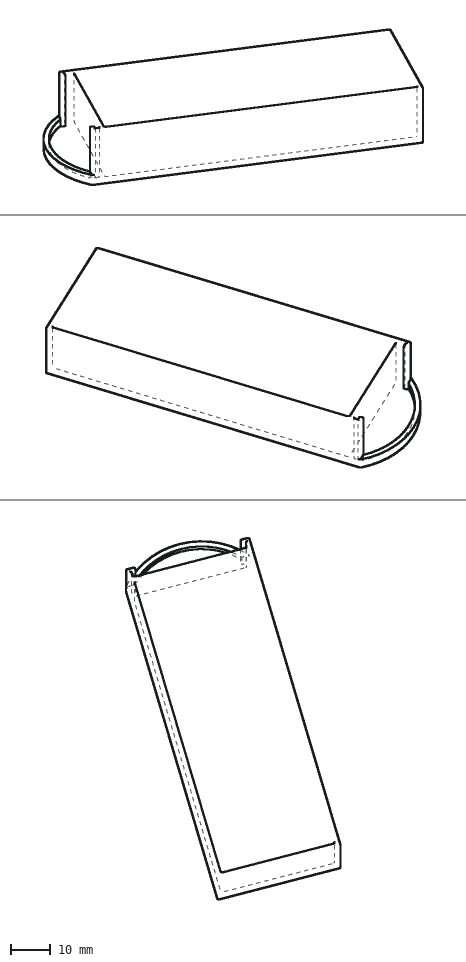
import cadquery as cq
import math

width = 32.4
total_length = 94.4
height = 16.0
tongue_reach = 7.6
tongue_height = 3.1
wall = 1.2
panel = 1.1
floor = 1.2
edge_round = 0.5
rim_round = 0.425
inner_round = 0.6
tongue_corner_round = 0.8
lip_round = 0.4
panel_setback = 2.5
lip_thickness = 1.2
lip_width = 2.4
rim_width = 1.4

tray_length = total_length - tongue_reach
inner_width = width - 2 * wall
panel_back = panel_setback + panel
opening_width = width - 2 * lip_width
tongue_radius = (width**2 / 4 + tongue_reach**2) / (2 * tongue_reach)
sunk_radius = tongue_radius - rim_width
sunk_reach = tongue_reach - rim_width
sunk_chord = 2 * math.sqrt(sunk_reach * (2 * sunk_radius - sunk_reach))


def block(x_size, y_start, y_end, z_start, z_end):
    """Box centred on X between the given Y and Z limits."""
    return (
        cq.Workplane("XY")
        .box(x_size, y_end - y_start, z_end - z_start, centered=(True, False, False))
        .translate((0, y_start, z_start))
    )


def arc_segment(chord, reach, z_start, z_end):
    """Circular segment bulging toward -Y from a chord at Y = 0."""
    return (
        cq.Workplane("XY", origin=(0, 0, z_start))
        .moveTo(-chord / 2, 0)
        .threePointArc((0, -reach), (chord / 2, 0))
        .close()
        .extrude(z_end - z_start)
    )


def outer_body():
    """Low base with the tongue, carrying the upper tray block."""
    base = block(width, 0, tray_length, 0, tongue_height)
    base = base.union(arc_segment(width, tongue_reach, 0, tongue_height)).clean()
    base = base.edges("|Z and >Y").fillet(edge_round)
    base = base.edges("|Z and (<X or >X)").edges("<Y").fillet(tongue_corner_round)
    base = base.faces("<Z").edges().fillet(edge_round)
    tray = block(width, 0, tray_length, tongue_height, height)
    return base.union(tray.edges("|Z").fillet(edge_round))


def tray_cavity():
    """Storage space with rounded corners and foot."""
    cavity = block(inner_width, panel_back, tray_length - wall, floor, height)
    return cavity.edges("|Z or <Z").fillet(inner_round)


def front_recess():
    """Card slot behind the lips, open to the front and sunk into the tongue."""
    slot = block(inner_width, lip_thickness, panel_setback, floor, height)
    opening = block(opening_width, 0, panel_setback, floor, height)
    front_space = block(width, -tongue_reach, 0, floor, height)
    recess = slot.union(opening).union(front_space).clean()
    recess = recess.edges("|Z and >Y").fillet(inner_round)
    recess = recess.faces(">Y").edges("<Z").fillet(inner_round)
    lip_edges = cq.selectors.BoxSelector(
        (-opening_width / 2 - lip_round, -lip_round, 0),
        (opening_width / 2 + lip_round, lip_thickness + lip_round, height),
    )
    recess = recess.edges("|Z").edges(lip_edges).fillet(lip_round)
    rim = block(width, -tongue_reach, 0, 0, tongue_height)
    sunk_tongue = arc_segment(sunk_chord, sunk_reach, floor, tongue_height)
    return recess.cut(rim).union(sunk_tongue)


body = outer_body().cut(tray_cavity()).cut(front_recess())
result = body.faces(">Z").edges().fillet(rim_round)